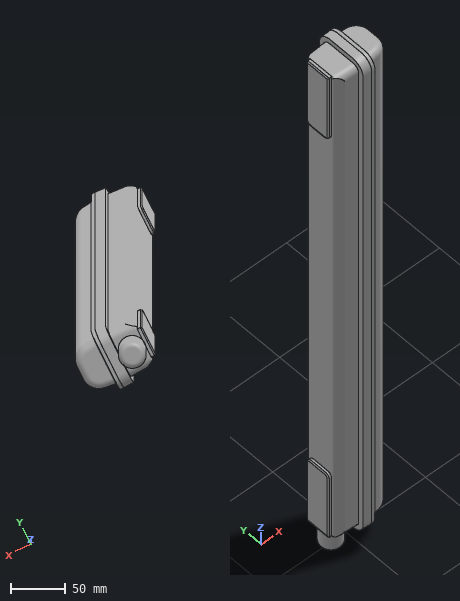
import cadquery as cq
import math

SEAM_X = 5.0
HOUSING_FLANGE_THICKNESS = 10.0
COVER_FLANGE_THICKNESS = 4.0
FLANGE_WIDTH = 61.0
FLANGE_TOP = 340.5
FLANGE_BOTTOM = -317.0
FLANGE_CORNER_RADIUS = 15.0
MID_Z = (FLANGE_TOP + FLANGE_BOTTOM) / 2

SEAM_HALF_WIDTH = 24.5

HOUSING_END_STEP = 7.0
HOUSING_BOTTOM = FLANGE_BOTTOM + HOUSING_END_STEP
HOUSING_TOP = FLANGE_TOP - HOUSING_END_STEP
HOUSING_DRAFT = 3.0
HOUSING_FRONT_X = -31.0
HOUSING_END_RADIUS = 8.0
BEVEL_BACK_X = -22.5
BEVEL_FRONT_WIDTH = 35.0
BEVEL_SIDE_RADIUS = 3.5
HOUSING_FRONT_RADIUS = 2.0

PAD_THICKNESS = 4.0
PAD_FRONT_X = HOUSING_FRONT_X - PAD_THICKNESS
PAD_DEPTH = 7.0
PAD_WIDTH = 30.0
PAD_LENGTH = 87.0
PAD_END_GAP = 1.0
PAD_CHAMFER = 1.5
PAD_CORNER_RADIUS = 5.5

COVER_BACK_X = 35.5
COVER_SIDE_END_X = 21.0
COVER_BACK_WIDTH = 12.0
COVER_DRAFT = 7.0
COVER_END_STEP = 5.8
COVER_EDGE_RADIUS = 7.5

PLUG_DIAMETER = 26.0
PLUG_X = HOUSING_FRONT_X + PLUG_DIAMETER / 2
PLUG_BOTTOM = -340.5
PLUG_TIP_RADIUS = 5.5


def flange(direction, thickness, draft):
    """Rounded plate from the seam toward -X or +X, its rim narrowing by the draft angle."""
    seam_plane = cq.Plane(origin=(SEAM_X, 0, MID_Z), xDir=(0, 1, 0), normal=(direction, 0, 0))
    return (
        cq.Workplane(seam_plane)
        .rect(FLANGE_WIDTH, FLANGE_TOP - FLANGE_BOTTOM)
        .extrude(thickness, taper=draft)
        .edges("not (|Y or |Z)")
        .fillet(FLANGE_CORNER_RADIUS)
    )


def housing_half_width(x):
    """Half width of the leaning housing sides at x."""
    return SEAM_HALF_WIDTH - (SEAM_X - x) * math.tan(math.radians(HOUSING_DRAFT))


def make_rounded_block():
    """Block with leaning sides, rounded along the sides of both ends."""
    front_half = housing_half_width(HOUSING_FRONT_X)
    return (
        cq.Workplane("XY", origin=(0, 0, HOUSING_BOTTOM))
        .moveTo(SEAM_X, -SEAM_HALF_WIDTH)
        .lineTo(HOUSING_FRONT_X, -front_half)
        .lineTo(HOUSING_FRONT_X, front_half)
        .lineTo(SEAM_X, SEAM_HALF_WIDTH)
        .close()
        .extrude(HOUSING_TOP - HOUSING_BOTTOM)
        .faces("<Z or >Z")
        .edges("not |Y")
        .fillet(HOUSING_END_RADIUS)
    )


def make_bevelled_prism():
    """Prism with the same leaning sides and bevels along both front corners."""
    bevel_half = housing_half_width(BEVEL_BACK_X)
    prism = (
        cq.Workplane("XY", origin=(0, 0, HOUSING_BOTTOM))
        .moveTo(SEAM_X, -SEAM_HALF_WIDTH)
        .lineTo(BEVEL_BACK_X, -bevel_half)
        .lineTo(HOUSING_FRONT_X, -BEVEL_FRONT_WIDTH / 2)
        .lineTo(HOUSING_FRONT_X, BEVEL_FRONT_WIDTH / 2)
        .lineTo(BEVEL_BACK_X, bevel_half)
        .lineTo(SEAM_X, SEAM_HALF_WIDTH)
        .close()
        .extrude(HOUSING_TOP - HOUSING_BOTTOM)
    )
    for side in (-1, 1):
        bevel_edge = cq.selectors.NearestToPointSelector((BEVEL_BACK_X, side * bevel_half, MID_Z))
        prism = prism.edges(bevel_edge).fillet(BEVEL_SIDE_RADIUS)
    return prism


def pad(z_low, inner_end):
    """Pad with a chamfered rim and rounded corners at its inner end."""
    return (
        cq.Workplane("YZ", origin=(PAD_FRONT_X, 0, z_low + PAD_LENGTH / 2))
        .rect(PAD_WIDTH, PAD_LENGTH)
        .extrude(PAD_DEPTH)
        .faces(inner_end)
        .edges("|X")
        .fillet(PAD_CORNER_RADIUS)
        .faces("<X")
        .chamfer(PAD_CHAMFER)
    )


def make_housing():
    lower_pad = pad(HOUSING_BOTTOM + PAD_END_GAP, ">Z")
    upper_pad = pad(HOUSING_TOP - PAD_END_GAP - PAD_LENGTH, "<Z")
    block = make_rounded_block().intersect(make_bevelled_prism())
    block = block.faces("<X").edges().fillet(HOUSING_FRONT_RADIUS)
    rim = flange(-1, HOUSING_FLANGE_THICKNESS, HOUSING_DRAFT)
    return block.union(rim).union(lower_pad).union(upper_pad)


def make_cover():
    side_end_half = SEAM_HALF_WIDTH - (COVER_SIDE_END_X - SEAM_X) * math.tan(math.radians(COVER_DRAFT))
    half_shell = (
        cq.Workplane("XY", origin=(0, 0, FLANGE_BOTTOM + COVER_END_STEP))
        .moveTo(SEAM_X, -SEAM_HALF_WIDTH)
        .lineTo(COVER_SIDE_END_X, -side_end_half)
        .tangentArcPoint((COVER_BACK_X, -COVER_BACK_WIDTH / 2), relative=False)
        .lineTo(COVER_BACK_X, 0)
        .lineTo(SEAM_X, 0)
        .close()
        .extrude(FLANGE_TOP - FLANGE_BOTTOM - 2 * COVER_END_STEP)
    )
    shell = half_shell.union(half_shell.mirror("XZ"))
    shell = shell.faces("<Z or >Z").edges("not <X").fillet(COVER_EDGE_RADIUS)
    return shell.union(flange(1, COVER_FLANGE_THICKNESS, 0))


def make_plug():
    return (
        cq.Workplane("XY", origin=(PLUG_X, 0, PLUG_BOTTOM))
        .circle(PLUG_DIAMETER / 2)
        .extrude(HOUSING_BOTTOM - PLUG_BOTTOM)
        .faces("<Z")
        .edges()
        .fillet(PLUG_TIP_RADIUS)
    )


housing = make_housing()
cover = make_cover()
plug = make_plug()
result = cq.Compound.makeCompound([housing.val(), cover.val(), plug.val()])